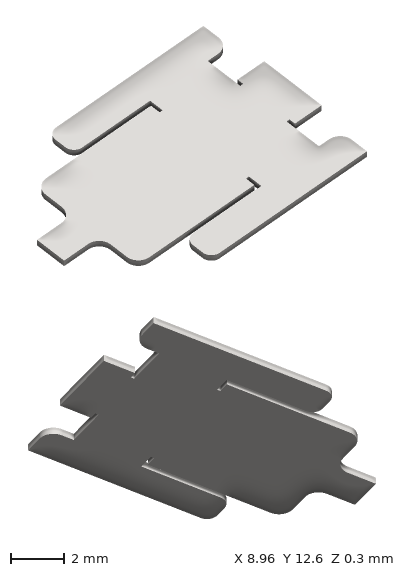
import cadquery as cq

length = 12.58
width = 8.96
thickness = 0.3

body_width = 5.65
head_width = 3.15
neck_width = 2.54
tail_width = 1.48
relief_tip_width = 4.73
arm_width = 1.43

front_y = -length / 2
rear_y = length / 2
tail_length = 1.85
head_length = 1.38
relief_width = 0.15
wing_length = 3.0
arm_rear_setback = 0.4
arm_length = 8.1

arm_front_radius = 0.45
corner_radius = 0.6

body_front_y = front_y + tail_length
head_front_y = rear_y - head_length
wing_rear_y = head_front_y - relief_width
wing_front_y = wing_rear_y - wing_length
body_rear_y = wing_front_y - relief_width
arm_rear_y = rear_y - arm_rear_setback
arm_front_y = arm_rear_y - arm_length
arm_inner_x = width / 2 - arm_width


def plate(x_min, x_max, y_min, y_max):
    """Rectangular piece of sheet standing on the XY plane."""
    size_x = x_max - x_min
    size_y = y_max - y_min
    return cq.Workplane("XY").box(size_x, size_y, thickness, centered=False).translate((x_min, y_min, 0))


def centred_plate(plate_width, y_min, y_max):
    """Rectangular piece of sheet centred on the symmetry plane."""
    return plate(-plate_width / 2, plate_width / 2, y_min, y_max)


def make_body():
    """Main panel with rounded front corners and a tail blended into its front edge."""
    panel = centred_plate(body_width, body_front_y, body_rear_y)
    panel = panel.edges("|Z and <Y").fillet(corner_radius)
    tail = centred_plate(tail_width, front_y, body_rear_y)
    pick_margin = 0.06
    tail_root = cq.selectors.BoxSelector(
        (-tail_width, body_front_y - pick_margin, -pick_margin),
        (tail_width, body_front_y + pick_margin, thickness + pick_margin),
    )
    return panel.union(tail).edges("|Z").edges(tail_root).fillet(corner_radius)


def make_head():
    """Rear flap joined to the wings by a neck between two small relief notches."""
    neck = centred_plate(neck_width, wing_rear_y, head_front_y)
    return neck.union(centred_plate(head_width, head_front_y, rear_y))


def make_wings():
    """Cross piece carrying the arms, joined to the body between the side reliefs."""
    cross_piece = centred_plate(2 * arm_inner_x, wing_front_y, wing_rear_y)
    return cross_piece.union(centred_plate(relief_tip_width, body_rear_y, wing_front_y))


def make_arm():
    """Long arm on the +X side; its outer rear corner stays square."""
    arm = plate(arm_inner_x, width / 2, arm_front_y, arm_rear_y)
    arm = arm.edges("|Z and <Y").fillet(arm_front_radius)
    return arm.edges("|Z and >Y").edges("<X").fillet(corner_radius)


right_arm = make_arm()
left_arm = right_arm.mirror("YZ")
result = make_body().union(make_wings()).union(make_head()).union(right_arm).union(left_arm).clean()